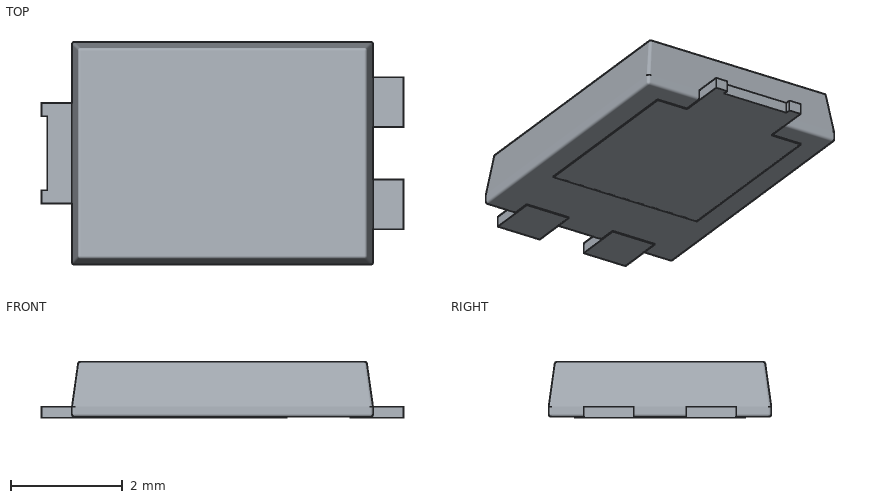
import cadquery as cq
import math

overall_length = 6.5
overall_height = 1.01
body_length = 5.4
body_width = 4.0
body_standoff = 0.02
edge_radius = 0.05
draft_angle = 8.0

lead_thickness = 0.2
lead_embed_x = 2.29

left_lead_width = 1.81
notch_depth = 0.105
notch_width = 1.325

pad_width = 3.06
pad_end_x = 1.15

right_lead_width = 0.9
right_lead_pitch = 1.83


def plate(x_start, x_end, width, y_centre=0.0):
    """Flat metal plate resting on z = 0."""
    return (
        cq.Workplane("XY")
        .center((x_start + x_end) / 2, y_centre)
        .rect(x_end - x_start, width)
        .extrude(lead_thickness)
    )


def make_body():
    """Moulded case: upright base band below a drafted upper part, with softened edges."""
    band = (
        cq.Workplane("XY")
        .workplane(offset=body_standoff)
        .rect(body_length, body_width)
        .extrude(lead_thickness - body_standoff)
        .edges("|Z or <Z")
        .fillet(edge_radius)
    )
    top_inset = (overall_height - lead_thickness) * math.tan(math.radians(draft_angle))
    cover = (
        cq.Workplane("XY")
        .workplane(offset=lead_thickness)
        .rect(body_length, body_width)
        .workplane(offset=overall_height - lead_thickness)
        .rect(body_length - 2 * top_inset, body_width - 2 * top_inset)
        .loft()
        .edges("not <Z")
        .fillet(edge_radius)
    )
    return band.union(cover)


def make_left_lead():
    """Notched lead that widens into the exposed pad beneath the body."""
    tip_x = -overall_length / 2
    lead = plate(tip_x, pad_end_x, left_lead_width)
    notch = plate(tip_x, tip_x + notch_depth, notch_width)
    pad = plate(-lead_embed_x, pad_end_x, pad_width)
    return lead.cut(notch).union(pad)


def make_right_leads():
    """Two plain leads, mirrored about the X axis."""
    leads = cq.Workplane("XY")
    for side in (-1, 1):
        leads = leads.add(
            plate(lead_embed_x, overall_length / 2, right_lead_width, side * right_lead_pitch / 2)
        )
    return leads.combine()


result = make_body().union(make_left_lead()).union(make_right_leads())